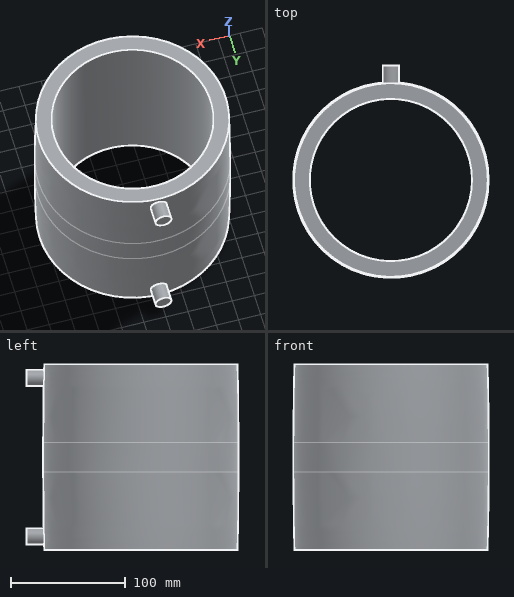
import cadquery as cq
import math

height = 162.0
bore_diameter = 141.0
belt_diameter = 170.5
end_diameter = 168.5
belt_height = 25.6

pin_diameter = 14.5
pin_tip_y = 99.75
pin_end_distance = 12.0

bore_radius = bore_diameter / 2
belt_radius = belt_diameter / 2
end_radius = end_diameter / 2
half_height = height / 2
half_belt = belt_height / 2

arc_length_z = half_height - half_belt
arc_drop = belt_radius - end_radius
arc_radius = (arc_length_z**2 + arc_drop**2) / (2 * arc_drop)
arc_mid_z = half_belt + arc_length_z / 2
arc_mid_drop = arc_radius - math.sqrt(arc_radius**2 - (arc_length_z / 2) ** 2)

mid_wall_y = (bore_radius + end_radius) / 2


def make_sleeve():
    """Revolve the wall: a straight belt that curves gently inward towards both ends."""
    return (
        cq.Workplane("XZ")
        .moveTo(bore_radius, -half_height)
        .lineTo(end_radius, -half_height)
        .threePointArc((belt_radius - arc_mid_drop, -arc_mid_z), (belt_radius, -half_belt))
        .lineTo(belt_radius, half_belt)
        .threePointArc((belt_radius - arc_mid_drop, arc_mid_z), (end_radius, half_height))
        .lineTo(bore_radius, half_height)
        .close()
        .revolve(360, (0, 0, 0), (0, 1, 0))
    )


def make_pin(center_z):
    """Round pin along +Y, rooted inside the wall so that it never reaches the bore."""
    return (
        cq.Workplane("XZ", origin=(0, mid_wall_y, center_z))
        .circle(pin_diameter / 2)
        .extrude(mid_wall_y - pin_tip_y)
    )


result = make_sleeve()
for side in (-1, 1):
    result = result.union(make_pin(side * (half_height - pin_end_distance)))